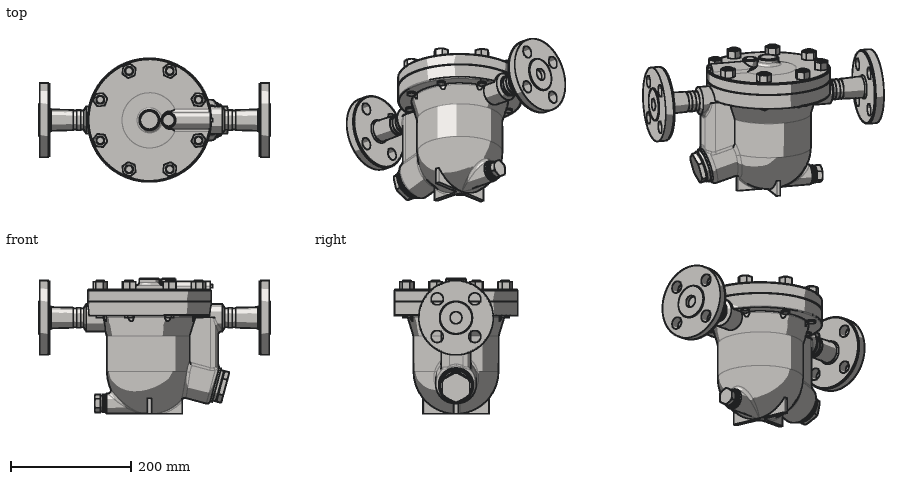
import cadquery as cq
import math


flange_radius = 206 / 2
body_radius = 142.4 / 2
base_z = -160.0
dome_center_z = base_z + body_radius
cone_bottom_z = -30.3
cone_top_z = 0.8
cone_top_radius = 80.5
flange_bottom_z = 2.9
flange_bottom_round = 2.0
joint_z = 26.9
joint_gap = 0.8
joint_depth = 1.0
cover_top_z = 47.1
cover_chamfer = 2.0

stud_count = 8
stud_circle_radius = 177 / 2
stud_diameter = 14.0
stud_top_z = 62.2
stud_bottom_z = 0.0
stud_chamfer = 1.0
nut_across_flats = 21.0
nut_corner_angle = 30.0
nut_height = 12.8
nut_chamfer = 1.0
spot_face_diameter = 20.0
spot_face_depth = 12.0

hub_base_radius = 46.0
hub_top_z = 55.3
hub_fillet = 5.4
boss_top_z = 65.6
boss_chamfer = 2.0
main_boss_radius = 34 / 2
small_boss_radius = 24 / 2
small_boss_x = 31.8
small_boss_foot_width = 3.0
small_boss_foot_z = 50.0
channel_radius = 13.9
channel_end_x = 101.5
channel_foot_fillet = 5.0
pin_radius = 3.0
pin_length = 4.2
pin_z = 52.6
pin_round = 2.0

overall_length = 385.0
inlet_face_x = -184.0
outlet_face_x = inlet_face_x + overall_length
inlet_boss_end_x = -109.0
outlet_boss_end_x = 125.0
pipe_boss_radius = 46 / 2
pipe_boss_start = 60.0
pipe_boss_chamfer_length = 4.0
pipe_boss_chamfer_radius = 6.0
raised_face_radius = 53 / 2
raised_face_root_radius = 55 / 2
raised_face_height = 1.5
end_flange_radius = 124 / 2
end_flange_back_radius = 121 / 2
end_flange_rim_length = 14.2
end_flange_back_length = 2.3
neck_root_radius = 40 / 2
neck_root_length = 3.0
neck_large_radius = 36 / 2
neck_small_radius = 34 / 2
neck_length = 36.3
pipe_radius = 32 / 2
bead_radius = 34 / 2
bead_start = 63.2
bead_end = 70.0
pipe_bore_radius = 20 / 2
pipe_bore_depth = 7.0
flange_hole_diameter = 20.0
flange_hole_circle = 88.5
flange_hole_count = 4

web_width = 49.5
web_end_x = 114.6
web_corner_radius = 13.6
web_bottom_z = -86.0
web_boss_fillet = 6.0

strainer_tilt = 15.0
strainer_face_x = 126.4
strainer_face_z = -116.3
strainer_boss_radius = 34.0
strainer_boss_depth = 85.0
strainer_boss_end = 18.3
strainer_round = 6.0
strainer_ring_radius = 58 / 2
strainer_ring_end = 15.0
strainer_collar_radius = 26.5
strainer_collar_end = 9.5
strainer_neck_radius = 46 / 2
strainer_hex_flats = 46.0
strainer_hex_length = 8.3
strainer_fillet = 7.0
plug_chamfer = 1.5

drain_z = -142.7
drain_boss_radius = 34 / 2
drain_boss_end_x = -73.3
drain_boss_chamfer = 2.0
drain_fillet = 5.0
drain_ring_radius = 30 / 2
drain_shoulder_radius = 14.0
drain_shoulder_length = 2.5
drain_ring_length = 2.7
drain_neck_radius = 13.0
drain_neck_length = 3.0
drain_hex_flats = 26.0
drain_hex_length = 9.5

leg_reach = 55.0
leg_thickness = 7.2
leg_top_z = -125.0
leg_round = 1.0
leg_fillet = 3.0


def cylinder_x(radius, start_x, end_x, z=0.0):
    """Cylinder along +X or -X between two X positions."""
    plane = cq.Workplane("YZ", origin=(start_x, 0, z))
    return plane.circle(radius).extrude(end_x - start_x)


def hexagon_prism(plane, across_flats, height, chamfer):
    """Hexagon with a corner on the plane's X axis, its outer corners turned off."""
    corner_radius = across_flats / 2 / math.cos(math.pi / 6)
    outer_face = cq.selectors.DirectionMinMaxSelector(plane.plane.zDir, True)
    turned = plane.circle(corner_radius).extrude(height).faces(outer_face).chamfer(chamfer / 2, chamfer)
    return plane.polygon(6, 2 * corner_radius).extrude(height).intersect(turned)


def edges_of_type(shape, edge_type, low_corner, high_corner):
    """Edges of one geometric type whose centres lie in a box."""
    in_box = shape.edges(cq.selectors.BoxSelector(low_corner, high_corner))
    return in_box.filter(lambda edge: edge.geomType() == edge_type)


def make_vessel():
    """Domed body, cone and body flange as one turned shape."""
    diagonal = body_radius * math.sqrt(0.5)
    return (
        cq.Workplane("XZ")
        .moveTo(0, base_z)
        .threePointArc((diagonal, dome_center_z - diagonal), (body_radius, dome_center_z))
        .lineTo(body_radius, cone_bottom_z)
        .lineTo(cone_top_radius, cone_top_z)
        .lineTo(cone_top_radius, flange_bottom_z)
        .lineTo(flange_radius, flange_bottom_z)
        .lineTo(flange_radius, joint_z)
        .lineTo(0, joint_z)
        .close()
        .revolve(360, (0, 0, 0), (0, 1, 0))
        .edges(cq.selectors.RadiusNthSelector(-1))
        .edges("<Z")
        .fillet(flange_bottom_round)
    )


def make_web(top_z):
    """Flat-sided web with rounded outer corners, from the body to the outlet side."""
    return (
        cq.Workplane("XY", origin=(0, 0, web_bottom_z))
        .moveTo(web_end_x / 2, 0)
        .rect(web_end_x, web_width)
        .extrude(top_z - web_bottom_z)
        .edges("|Z and >X")
        .fillet(web_corner_radius)
    )


def strainer_plane(offset):
    """Workplane across the strainer axis, offset outward from the plug's outer face."""
    tilt = math.radians(strainer_tilt)
    direction = cq.Vector(math.cos(tilt), 0, -math.sin(tilt))
    origin = cq.Vector(strainer_face_x, 0, strainer_face_z) + direction * offset
    across = cq.Vector(math.sin(tilt), 0, math.cos(tilt))
    return cq.Workplane(cq.Plane(origin, across, direction))


def strainer_cylinder(radius, inner_depth, outer_depth):
    """Cylinder on the strainer axis between two depths below the plug's outer face."""
    return strainer_plane(-inner_depth).circle(radius).extrude(inner_depth - outer_depth)


def make_strainer_boss():
    """Inclined boss, rounded at its outer end."""
    boss = strainer_cylinder(strainer_boss_radius, strainer_boss_depth, strainer_boss_end)
    outer_face = cq.selectors.DirectionMinMaxSelector(strainer_plane(0).plane.zDir, True)
    return boss.faces(outer_face).edges().fillet(strainer_round)


def make_strainer_plug():
    """Stepped round shoulder and hexagon head of the strainer plug."""
    ring = strainer_cylinder(strainer_ring_radius, strainer_boss_end + strainer_round, strainer_ring_end)
    collar = strainer_cylinder(strainer_collar_radius, strainer_ring_end, strainer_collar_end)
    neck = strainer_cylinder(strainer_neck_radius, strainer_collar_end, strainer_hex_length)
    head_plane = strainer_plane(-strainer_hex_length)
    head = hexagon_prism(head_plane, strainer_hex_flats, strainer_hex_length, plug_chamfer)
    return ring.union(collar).union(neck).union(head)


def make_body():
    """Vessel with its web, strainer boss and drain boss, blended where they meet."""
    body = make_vessel().union(make_web(cone_top_z)).union(make_strainer_boss())
    strainer_low = (body_radius / 2, -strainer_boss_radius, strainer_face_z - strainer_fillet)
    strainer_high = (web_end_x, strainer_boss_radius, cone_bottom_z)
    body = edges_of_type(body, "BSPLINE", strainer_low, strainer_high).fillet(strainer_fillet)

    drain_boss = cylinder_x(drain_boss_radius, 0, drain_boss_end_x, drain_z)
    body = body.union(drain_boss.faces("<X").chamfer(drain_boss_chamfer))
    drain_low = (drain_boss_end_x, -body_radius, base_z)
    drain_high = (0, body_radius, dome_center_z)
    return edges_of_type(body, "BSPLINE", drain_low, drain_high).fillet(drain_fillet)


def make_spot_faces():
    """Cylinders that clear the cone around the stud ends."""
    return (
        cq.Workplane("XY", origin=(0, 0, flange_bottom_z))
        .polarArray(stud_circle_radius, 180 / stud_count, 360, stud_count)
        .circle(spot_face_diameter / 2)
        .extrude(-spot_face_depth)
    )


def make_pipe_boss(end_x):
    """Boss around the pipe axis with a chamfered outer end."""
    side = math.copysign(1, end_x)
    profile = [
        (end_x, 0),
        (end_x, pipe_boss_radius - pipe_boss_chamfer_radius),
        (end_x - side * pipe_boss_chamfer_length, pipe_boss_radius),
        (side * pipe_boss_start, pipe_boss_radius),
        (side * pipe_boss_start, 0),
    ]
    return cq.Workplane("XY").polyline(profile).close().revolve(360, (0, 0, 0), (1, 0, 0))


def make_outlet_joint():
    """Upper web blended into the outlet boss below the pipe axis."""
    joined = make_web(cone_top_z + pipe_boss_radius).union(
        cylinder_x(pipe_boss_radius, pipe_boss_start, outlet_boss_end_x - pipe_boss_chamfer_length)
    )
    low = (pipe_boss_start, -web_width, -2 * pipe_boss_radius)
    high = (outlet_boss_end_x, web_width, 2 * pipe_boss_radius)
    blended = edges_of_type(joined, "BSPLINE", low, high).fillet(web_boss_fillet)
    below_axis = (
        cq.Workplane("XY")
        .moveTo((pipe_boss_start + outlet_boss_end_x) / 2, 0)
        .rect(outlet_boss_end_x - pipe_boss_start, 2 * web_width)
        .extrude(web_bottom_z)
    )
    return blended.intersect(below_axis)


def make_end_flange(face_x, boss_end_x):
    """Weld-neck flange and pipe from its face to the body's pipe boss."""
    inward = -math.copysign(1, face_x)
    rim_back = raised_face_height + end_flange_rim_length
    flange_back = rim_back + end_flange_back_length
    neck_start = flange_back + neck_root_length
    neck_end = neck_start + neck_length
    pipe_length = abs(face_x - boss_end_x)
    stations = [
        (0, 0),
        (0, raised_face_radius),
        (raised_face_height, raised_face_root_radius),
        (raised_face_height, end_flange_radius),
        (rim_back, end_flange_radius),
        (rim_back, end_flange_back_radius),
        (flange_back, end_flange_back_radius),
        (flange_back, neck_root_radius),
        (neck_start, neck_large_radius),
        (neck_end, neck_small_radius),
        (neck_end, pipe_radius),
        (bead_start, pipe_radius),
        (bead_start, bead_radius),
        (bead_end, bead_radius),
        (bead_end, pipe_radius),
        (pipe_length, pipe_radius),
        (pipe_length, 0),
    ]
    profile = [(face_x + inward * distance, radius) for distance, radius in stations]
    flange = cq.Workplane("XY").polyline(profile).close().revolve(360, (0, 0, 0), (1, 0, 0))
    bore = cylinder_x(pipe_bore_radius, face_x, face_x + inward * pipe_bore_depth)
    holes = (
        cq.Workplane("YZ", origin=(face_x, 0, 0))
        .polarArray(flange_hole_circle / 2, 180 / flange_hole_count, 360, flange_hole_count)
        .circle(flange_hole_diameter / 2)
        .extrude(inward * flange_back)
    )
    return flange.cut(bore).cut(holes)


def make_cover():
    """Cover disc with its raised cone and main boss, turned about the body axis."""
    disc_bottom_z = joint_z + joint_gap
    neck_radius = flange_radius - joint_depth
    return (
        cq.Workplane("XZ")
        .moveTo(0, joint_z)
        .lineTo(neck_radius, joint_z)
        .lineTo(neck_radius, disc_bottom_z)
        .lineTo(flange_radius, disc_bottom_z)
        .lineTo(flange_radius, cover_top_z - cover_chamfer)
        .lineTo(flange_radius - cover_chamfer, cover_top_z)
        .lineTo(hub_base_radius, cover_top_z)
        .lineTo(main_boss_radius, hub_top_z)
        .lineTo(main_boss_radius, boss_top_z - boss_chamfer)
        .lineTo(main_boss_radius - boss_chamfer, boss_top_z)
        .lineTo(0, boss_top_z)
        .close()
        .revolve(360, (0, 0, 0), (0, 1, 0))
        .edges(cq.selectors.NearestToPointSelector((0, 0, hub_top_z)))
        .fillet(hub_fillet)
    )


def make_channel():
    """Round-topped channel on the cover with foot fillets, small boss and end pin."""
    disc_top = cq.Workplane("XY", origin=(0, 0, cover_top_z))
    bar = cylinder_x(channel_radius, small_boss_x, channel_end_x, cover_top_z)
    foot_half_width = channel_radius + channel_foot_fillet
    fillet_middle_y = foot_half_width - channel_foot_fillet * math.sqrt(0.5)
    fillet_middle_z = cover_top_z + channel_foot_fillet * (1 - math.sqrt(0.5))
    foot_top_z = cover_top_z + channel_foot_fillet
    foot_inner = math.sqrt(channel_radius**2 - channel_foot_fillet**2)
    foot = (
        cq.Workplane("YZ", origin=(small_boss_x, 0, 0))
        .moveTo(-foot_half_width, cover_top_z)
        .threePointArc((-fillet_middle_y, fillet_middle_z), (-foot_inner, foot_top_z))
        .lineTo(foot_inner, foot_top_z)
        .threePointArc((fillet_middle_y, fillet_middle_z), (foot_half_width, cover_top_z))
        .close()
        .extrude(channel_end_x - small_boss_x)
    )
    bar = bar.intersect(disc_top.rect(4 * flange_radius, 4 * channel_radius).extrude(2 * channel_radius))
    boss = disc_top.moveTo(small_boss_x, 0).circle(small_boss_radius).extrude(boss_top_z - cover_top_z)
    boss = boss.faces(">Z").chamfer(boss_chamfer)
    foot_radius = small_boss_radius + small_boss_foot_width
    foot_end_z = small_boss_foot_z + small_boss_foot_width
    boss_foot = disc_top.moveTo(small_boss_x, 0).circle(foot_radius).extrude(foot_end_z - cover_top_z)
    boss_foot = boss_foot.faces(">Z").chamfer(small_boss_foot_width)
    pin = cylinder_x(pin_radius, small_boss_x, channel_end_x + pin_length, pin_z)
    pin = pin.faces(">X").edges().fillet(pin_round)
    return bar.union(foot).union(boss_foot).union(boss).union(pin)


def make_studs():
    """Ring of studs with nuts, each nut turned so that a flat faces outward."""
    stud = (
        cq.Workplane("XY", origin=(0, 0, stud_bottom_z))
        .circle(stud_diameter / 2)
        .extrude(stud_top_z - stud_bottom_z)
        .faces(">Z")
        .chamfer(stud_chamfer)
    )
    nut_plane = cq.Workplane("XY", origin=(0, 0, cover_top_z))
    nut = hexagon_prism(nut_plane, nut_across_flats, nut_height, nut_chamfer)
    set_at_axis = stud.union(nut.rotate((0, 0, 0), (0, 0, 1), nut_corner_angle))
    studs = cq.Workplane("XY")
    for index in range(stud_count):
        angle = (index + 0.5) * 360 / stud_count
        placed = set_at_axis.translate((stud_circle_radius, 0, 0)).rotate((0, 0, 0), (0, 0, 1), angle)
        studs = studs.add(placed)
    return studs.combine()


def make_drain_plug():
    """Stepped hexagon plug in the drain boss."""
    shoulder_end_x = drain_boss_end_x - drain_shoulder_length
    ring_end_x = shoulder_end_x - drain_ring_length
    neck_end_x = ring_end_x - drain_neck_length
    shoulder = cylinder_x(drain_shoulder_radius, drain_boss_end_x, shoulder_end_x, drain_z)
    ring = cylinder_x(drain_ring_radius, shoulder_end_x, ring_end_x, drain_z)
    neck = cylinder_x(drain_neck_radius, ring_end_x, neck_end_x, drain_z)
    across = cq.Plane(origin=(neck_end_x, 0, drain_z), xDir=(0, 0, 1), normal=(-1, 0, 0))
    head = hexagon_prism(cq.Workplane(across), drain_hex_flats, drain_hex_length, plug_chamfer)
    return shoulder.union(ring).union(neck).union(head)


def make_legs():
    """Three flat legs under the dome: one to each side and one toward the outlet."""
    height = leg_top_z - base_z
    side_legs = cq.Workplane("XY", origin=(0, 0, base_z)).rect(leg_thickness, 2 * leg_reach).extrude(height)
    outlet_leg = (
        cq.Workplane("XY", origin=(0, 0, base_z))
        .moveTo(leg_reach / 2, 0)
        .rect(leg_reach, leg_thickness)
        .extrude(height)
    )
    side_legs = side_legs.edges("|Z").fillet(leg_round)
    outlet_leg = outlet_leg.edges("|Z and >X").fillet(leg_round)
    return side_legs.union(outlet_leg)


def make_body_on_legs():
    """Body with its legs, the outlet leg blended into the dome."""
    body = make_body().union(make_legs())
    low = (leg_thickness, -leg_thickness, base_z + leg_round)
    high = (leg_reach, leg_thickness, leg_top_z)
    return edges_of_type(body, "CIRCLE", low, high).fillet(leg_fillet)


result = make_body_on_legs().cut(make_spot_faces())
for piece in (
    make_outlet_joint(),
    make_pipe_boss(inlet_boss_end_x),
    make_pipe_boss(outlet_boss_end_x),
    make_cover(),
    make_channel(),
    make_studs(),
    make_strainer_plug(),
    make_drain_plug(),
    make_end_flange(inlet_face_x, inlet_boss_end_x),
    make_end_flange(outlet_face_x, outlet_boss_end_x),
):
    result = result.union(piece)